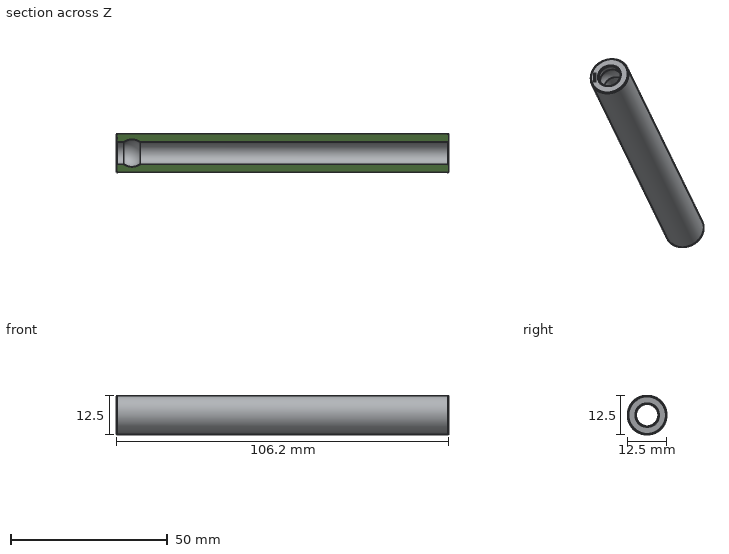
import cadquery as cq

length = 106.2
outer_diameter = 12.5
bore_diameter = 7.0
edge_chamfer = 0.3

pocket_radius = 4.4
pocket_depth = 5.0

slot_length = 3.0
slot_width = 0.5
slot_depth = 0.2
slot_offset = 4.8

end_x = -length / 2


def make_tube():
    """Straight tube with the outer and bore edges chamfered at both ends."""
    rod = cq.Workplane("YZ", origin=(end_x, 0, 0)).circle(outer_diameter / 2).extrude(length)
    tube = rod.faces("<X").workplane().hole(bore_diameter)
    return tube.faces("<X or >X").edges().chamfer(edge_chamfer)


def make_pocket():
    """Sphere centred on the bore axis."""
    return cq.Workplane("YZ", origin=(end_x + pocket_depth, 0, 0)).sphere(pocket_radius)


def make_slot():
    """Shallow upright bar, starting on the -X end face."""
    outline = cq.Workplane("YZ", origin=(end_x, slot_offset, 0)).rect(slot_width, slot_length)
    return outline.extrude(slot_depth)


result = make_tube().cut(make_pocket()).cut(make_slot())